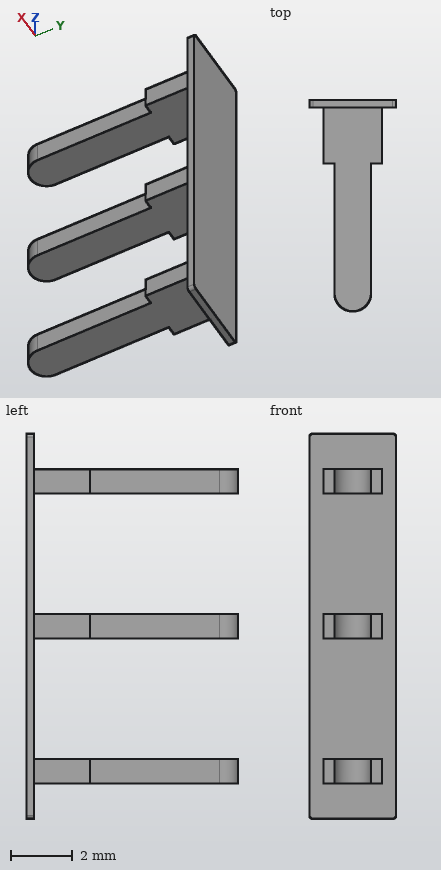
import cadquery as cq

PLATE_WIDTH = 2.82
PLATE_HEIGHT = 12.5
PLATE_THICKNESS = 0.25
PLATE_CORNER_RADIUS = 0.12

PIN_COUNT = 3
PIN_PITCH = 4.7
PIN_THICKNESS = 0.8
SHOULDER_WIDTH = 1.9
BLADE_WIDTH = 1.2
OVERALL_DEPTH = 6.86
SHOULDER_LENGTH = 1.81

PLATE_FRONT_Y = -PLATE_THICKNESS
SHOULDER_END_Y = PLATE_FRONT_Y - SHOULDER_LENGTH
TIP_Y = -OVERALL_DEPTH
TIP_ARC_START_Y = TIP_Y + BLADE_WIDTH / 2


def make_plate():
    """Strip with its four corners rounded."""
    return (
        cq.Workplane("XY")
        .box(PLATE_WIDTH, PLATE_THICKNESS, PLATE_HEIGHT)
        .translate((0, -PLATE_THICKNESS / 2, 0))
        .edges("|Y")
        .fillet(PLATE_CORNER_RADIUS)
    )


def make_pin(center_z):
    """Stepped flat pin with a full-round tip, starting inside the plate."""
    root_y = -PLATE_THICKNESS / 2
    half_shoulder = SHOULDER_WIDTH / 2
    half_blade = BLADE_WIDTH / 2
    return (
        cq.Workplane("XY", origin=(0, 0, center_z))
        .moveTo(-half_shoulder, root_y)
        .lineTo(-half_shoulder, SHOULDER_END_Y)
        .lineTo(-half_blade, SHOULDER_END_Y)
        .lineTo(-half_blade, TIP_ARC_START_Y)
        .threePointArc((0, TIP_Y), (half_blade, TIP_ARC_START_Y))
        .lineTo(half_blade, SHOULDER_END_Y)
        .lineTo(half_shoulder, SHOULDER_END_Y)
        .lineTo(half_shoulder, root_y)
        .close()
        .extrude(PIN_THICKNESS / 2, both=True)
    )


result = make_plate()
for index in range(PIN_COUNT):
    pin_z = (index - (PIN_COUNT - 1) / 2) * PIN_PITCH
    result = result.union(make_pin(pin_z))